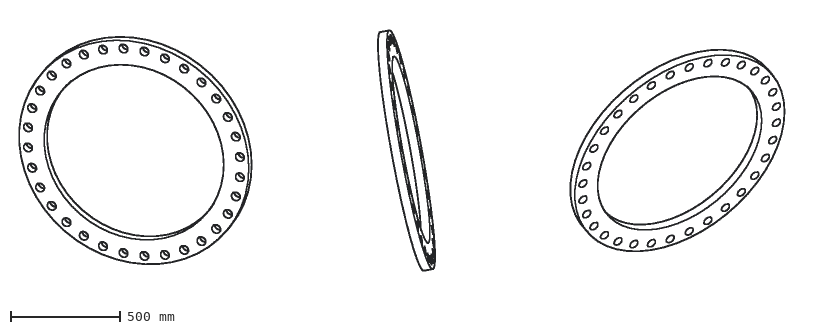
import cadquery as cq

outer_diameter = 1111.0
bore_diameter = 868.0
thickness = 42.0

hole_count = 32
hole_diameter = 41.0
bolt_circle_diameter = 1029.0
half_pitch_angle = 360 / hole_count / 2


def make_ring():
    """Plain ring with its +Y face on the XZ plane."""
    return (
        cq.Workplane("XZ")
        .circle(outer_diameter / 2)
        .circle(bore_diameter / 2)
        .extrude(thickness)
    )


def make_bolt_holes():
    """Cylinders that pass through the full ring thickness."""
    return (
        cq.Workplane("XZ")
        .polarArray(bolt_circle_diameter / 2, half_pitch_angle, 360, hole_count)
        .circle(hole_diameter / 2)
        .extrude(thickness)
    )


result = make_ring().cut(make_bolt_holes())